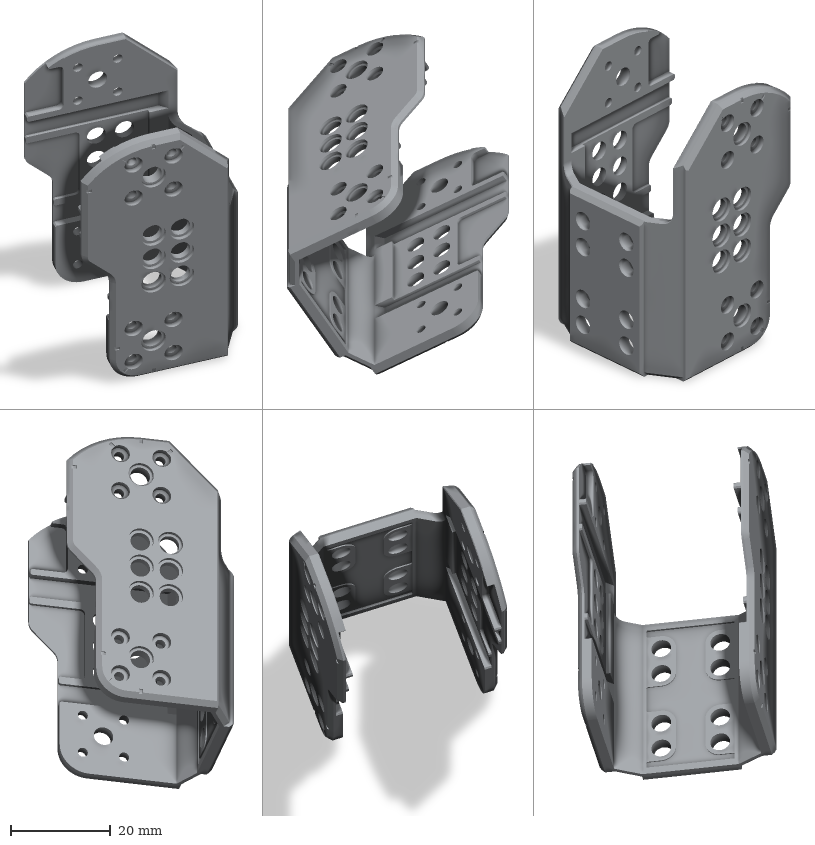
import cadquery as cq
import math

WIDTH = 36.0
DEPTH = 36.0
HEIGHT = 60.0
LEG_THICK = 3.0
WEB_THICK = 3.0
CHAMFER = 3 / 3
EDGE_BREAK = 0.4
FINE_BREAK = 0.2
MARGIN = 3.0
TOLERANCE = 0.05

HALF_WIDTH = WIDTH / 2
BACK = DEPTH / 2
FRONT = -DEPTH / 2
INNER_X = HALF_WIDTH - LEG_THICK

WEB_HEIGHT = 36.0
WEB_OPENING_RADIUS = 6 / 3
WEB_PAD_HALF = 30 / 3
SLANT_ANGLE = math.radians(30)
SLANT_RUN_Y = 3.0
WEB_INNER_Y = BACK - WEB_THICK
LEG_INNER_Y = WEB_INNER_Y - SLANT_RUN_Y
WEB_INNER_X = INNER_X - SLANT_RUN_Y / math.tan(SLANT_ANGLE)
LEG_BACK = LEG_INNER_Y + CHAMFER

LOWER_FRONT = -12.0
MID_Z = 30.0
STEP_RADIUS = 3.0
BOTTOM_RADIUS = 6.0
TOP_FLAT_BACK = 3.0
TOP_FLAT_FRONT = -3.0
TOP_ARC_RADIUS = 19.5
TOP_ARC_Z = HEIGHT - TOP_ARC_RADIUS

PITCH = 6.0
HORN_Y = -3.0
LOWER_HORN_Z = 9.0
UPPER_HORN_Z = 51.0
SCREW_CIRCLE_RADIUS = 6.0
SCREW_DIA = 2.05
SCREW_HEAD_DIA = 3.85
SCREW_HEAD_DEPTH = 1.2
HOLE_DIA = 12 / 3
HOLE_RIM_DIA = 5.15
HOLE_RIM_DEPTH = 0.8

RECESS_DEPTH = 1.5
PANEL_DEPTH = 0.85
PANEL_BACK = 8.0
CHANNEL_SPACING = 23.75
CHANNEL_HEIGHT = 4.55
CHANNEL_Z = (MID_Z - CHANNEL_SPACING / 2, MID_Z + CHANNEL_SPACING / 2)
POCKET_RADIUS = 3 / 3
UPPER_POCKET_BACK = -10.3
UPPER_POCKET_HEIGHT = 33 / 3
LOWER_POCKET_BACK = -6.6
LOWER_POCKET_HEIGHT = 48 / 3
MOUTH_BREAK = 0.3
ARC_MOUTH_BREAK = 0.7

WEB_RECESS_HALF = 9.0
WEB_RECESS_Z = (1.5, 34.5)
WEB_RECESS_DEPTH = 0.5
WEB_RECESS_RADIUS = 0.3
ISLAND_DEPTH = 0.25
ISLAND_INNER_X = 3.0
ISLAND_RADIUS = 3.0
ISLAND_HEIGHT = 12.0
ISLAND_Z = (9.0, 27.0)

MARK_WIDTH = 0.7
MARK_DEPTH = 0.25
MARK_REACH = 1.8


def box(x, y, z):
    """Box between the given (min, max) pairs."""
    size = [high - low for low, high in (x, y, z)]
    return cq.Workplane("XY").box(*size, centered=False).translate((x[0], y[0], z[0]))


def centered_range(middle, size):
    return middle - size / 2, middle + size / 2


def plan_prism(points, z_range):
    """Prism over a plan outline given for +X and mirrored to -X."""
    mirrored = [(-x, y) for x, y in reversed(points)]
    plane = cq.Workplane("XY").workplane(offset=z_range[0])
    return plane.polyline(points + mirrored).close().extrude(z_range[1] - z_range[0])


def near(x_range, y, z):
    """Selector for edges centred at a Y, Z point within an X range."""
    low = (x_range[0] - TOLERANCE, y - TOLERANCE, z - TOLERANCE)
    high = (x_range[1] + TOLERANCE, y + TOLERANCE, z + TOLERANCE)
    return cq.selectors.BoxSelector(low, high)


UPPER_POCKET_Z = centered_range(UPPER_HORN_Z, UPPER_POCKET_HEIGHT)
LOWER_POCKET_Z = centered_range(MID_Z, LOWER_POCKET_HEIGHT)


def arc_point(y):
    return y, TOP_ARC_Z + math.sqrt(TOP_ARC_RADIUS**2 - (y - TOP_FLAT_FRONT) ** 2)


def side_prism(x_range):
    """Side outline of the legs, carried on behind the web, extruded along X."""
    half_step = (LOWER_FRONT - FRONT) / 2
    far_back = BACK + MARGIN
    prism = (
        cq.Workplane("YZ").workplane(offset=x_range[0])
        .moveTo(far_back, 0)
        .lineTo(LOWER_FRONT, 0)
        .lineTo(LOWER_FRONT, MID_Z - half_step)
        .lineTo(FRONT, MID_Z + half_step)
        .lineTo(*arc_point(FRONT))
        .threePointArc(arc_point((FRONT + TOP_FLAT_FRONT) / 2), (TOP_FLAT_FRONT, HEIGHT))
        .lineTo(TOP_FLAT_BACK, HEIGHT)
        .lineTo(far_back, HEIGHT - (far_back - TOP_FLAT_BACK))
        .close()
        .extrude(x_range[1] - x_range[0])
    )
    prism = prism.edges(near(x_range, LOWER_FRONT, 0)).fillet(BOTTOM_RADIUS)
    prism = prism.edges(near(x_range, LOWER_FRONT, MID_Z - half_step)).fillet(STEP_RADIUS)
    return prism.edges(near(x_range, FRONT, MID_Z + half_step)).fillet(STEP_RADIUS)


def hull():
    """Outside of the legs and slanted walls, open space not yet removed."""
    shoulder_x = HALF_WIDTH - CHAMFER
    legs = box((-HALF_WIDTH, HALF_WIDTH), (FRONT, LEG_BACK), (0, HEIGHT))
    legs = legs.edges("|Z and >Y").chamfer(EDGE_BREAK)
    slants = plan_prism(
        [(shoulder_x, LEG_INNER_Y - MARGIN), (shoulder_x, LEG_BACK), (WEB_PAD_HALF, BACK - CHAMFER)],
        (0, HEIGHT),
    )
    bottom_edges = cq.selectors.BoxSelector(
        (-shoulder_x + TOLERANCE, LEG_BACK, -TOLERANCE), (shoulder_x - TOLERANCE, BACK, TOLERANCE)
    )
    slants = slants.edges(bottom_edges).chamfer(CHAMFER)
    sides = side_prism((-HALF_WIDTH, HALF_WIDTH)).faces("<X or >X").chamfer(CHAMFER)
    return legs.union(slants).intersect(sides)


def cut_web_opening(body):
    """Clear the space between the legs above the web and break its back edges."""
    opening = box((-INNER_X, INNER_X), (FRONT - MARGIN, BACK + MARGIN), (WEB_HEIGHT, HEIGHT + MARGIN))
    opening = opening.edges("|Y and <Z").fillet(WEB_OPENING_RADIUS)
    back_edges = cq.selectors.BoxSelector(
        (-INNER_X - TOLERANCE, LEG_BACK, WEB_HEIGHT - TOLERANCE),
        (INNER_X + TOLERANCE, BACK, (WEB_HEIGHT + HEIGHT) / 2),
    )
    return body.cut(opening).edges(back_edges).chamfer(FINE_BREAK)


def web_pad():
    """Thick middle of the web."""
    pad = box((-WEB_PAD_HALF, WEB_PAD_HALF), (WEB_INNER_Y, BACK), (0, WEB_HEIGHT))
    pad = pad.faces(">Y").edges("|X").chamfer(CHAMFER)
    return pad.faces(">Y").edges("|Z").chamfer(EDGE_BREAK)


def cavity():
    """Open space between the legs, bounded by the slanted walls and the web."""
    return plan_prism(
        [(INNER_X, FRONT - MARGIN), (INNER_X, LEG_INNER_Y), (WEB_INNER_X, WEB_INNER_Y)],
        (-MARGIN, HEIGHT + MARGIN),
    )


def recess(back_y, z_range, depth):
    return box((INNER_X, INNER_X + depth), (FRONT - MARGIN, back_y), z_range)


def channel(mid_z):
    """Wiring channel that runs out to the inner face at 45 degrees at its back end."""
    deep_x = INNER_X + RECESS_DEPTH
    open_y = FRONT - MARGIN
    plane = cq.Workplane("XY").workplane(offset=mid_z - CHANNEL_HEIGHT / 2)
    ramp_y = LEG_INNER_Y - RECESS_DEPTH
    outline = [(INNER_X, open_y), (deep_x, open_y), (deep_x, ramp_y), (INNER_X, LEG_INNER_Y)]
    return plane.polyline(outline).close().extrude(CHANNEL_HEIGHT)


def leg_recesses():
    cuts = recess(PANEL_BACK, CHANNEL_Z, PANEL_DEPTH)
    for mid_z in CHANNEL_Z:
        cuts = cuts.union(channel(mid_z))
    for back_y, z_range in ((UPPER_POCKET_BACK, UPPER_POCKET_Z), (LOWER_POCKET_BACK, LOWER_POCKET_Z)):
        pocket = recess(back_y, z_range, RECESS_DEPTH)
        cuts = cuts.union(pocket.edges("|X and >Y").fillet(POCKET_RADIUS))
    return cuts


def counterbored(points, dia, head_dia, head_depth):
    """Holes through the leg at (Y, Z) points, with their heads on the outside."""
    plane = cq.Workplane("YZ")
    bores = plane.workplane(offset=INNER_X).pushPoints(points).circle(dia / 2).extrude(LEG_THICK)
    heads = plane.workplane(offset=HALF_WIDTH - head_depth).pushPoints(points)
    return bores.union(heads.circle(head_dia / 2).extrude(head_depth))


def leg_holes():
    screw_offset = SCREW_CIRCLE_RADIUS * math.sin(math.pi / 4)
    horns = [(HORN_Y, z) for z in (LOWER_HORN_Z, UPPER_HORN_Z)]
    screws = [
        (y + side * screw_offset, z + level * screw_offset)
        for y, z in horns for side in (-1, 1) for level in (-1, 1)
    ]
    grid = [(HORN_Y + column * PITCH, MID_Z + row * PITCH) for column in (0, 1) for row in (-1, 0, 1)]
    screw_holes = counterbored(screws, SCREW_DIA, SCREW_HEAD_DIA, SCREW_HEAD_DEPTH)
    return screw_holes.union(counterbored(horns + grid, HOLE_DIA, HOLE_RIM_DIA, HOLE_RIM_DEPTH))


def mark(horn_z, angle, start):
    """Groove pointing away from a horn centre; the angle turns from +Y towards +Z."""
    x_range = (HALF_WIDTH - MARK_DEPTH, HALF_WIDTH)
    groove = box(x_range, (start, start + MARGIN), centered_range(0, MARK_WIDTH))
    return groove.rotate((0, 0, 0), (1, 0, 0), angle).translate((0, HORN_Y, horn_z))


def leg_marks():
    to_end = HEIGHT - UPPER_HORN_Z - MARK_REACH
    to_front = HORN_Y - FRONT - MARK_REACH
    to_lower_front = HORN_Y - LOWER_FRONT - MARK_REACH
    upper = [(45, SCREW_CIRCLE_RADIUS), (90, to_end), (135, SCREW_CIRCLE_RADIUS), (180, to_front)]
    lower = [(180, to_lower_front), (225, SCREW_CIRCLE_RADIUS), (270, to_end)]
    grooves = cq.Workplane("XY")
    for horn_z, group in ((UPPER_HORN_Z, upper), (LOWER_HORN_Z, lower)):
        for angle, start in group:
            grooves = grooves.union(mark(horn_z, angle, start))
    return grooves


def leg_rim_break():
    """Fine chamfer along the inner edge of the top, as far forward as the upper pocket."""
    rim = box((INNER_X, INNER_X + FINE_BREAK), (UPPER_POCKET_BACK, BACK), (WEB_HEIGHT + MARGIN, HEIGHT))
    return rim.cut(side_prism((INNER_X, HALF_WIDTH)).faces("<X").chamfer(FINE_BREAK))


def break_recess_mouths(body):
    """Chamfer the top and bottom edges where the recesses open to the front."""
    lower_channel, upper_channel = (centered_range(z, CHANNEL_HEIGHT) for z in CHANNEL_Z)
    arc_y = TOP_FLAT_FRONT - math.sqrt(TOP_ARC_RADIUS**2 - (UPPER_POCKET_Z[1] - TOP_ARC_Z) ** 2)
    mouths = [(LOWER_FRONT, z) for z in (*lower_channel, LOWER_POCKET_Z[0])]
    mouths += [(FRONT, z) for z in (LOWER_POCKET_Z[1], *upper_channel, UPPER_POCKET_Z[0])]
    sized = [(y, z, MOUTH_BREAK) for y, z in mouths]
    sized.append((arc_y, UPPER_POCKET_Z[1], ARC_MOUTH_BREAK))
    for y, z, size in sized:
        body = body.edges(near((-HALF_WIDTH, HALF_WIDTH), y, z)).edges("|X").chamfer(size)
    return body


def web_recess():
    def layer(depth):
        x_range = (-WEB_RECESS_HALF, WEB_RECESS_HALF)
        return box(x_range, (WEB_INNER_Y, WEB_INNER_Y + depth), WEB_RECESS_Z)

    deep = layer(WEB_RECESS_DEPTH)
    for mid_z in ISLAND_Z:
        island = box(
            (ISLAND_INNER_X, WEB_RECESS_HALF), (WEB_INNER_Y, BACK), centered_range(mid_z, ISLAND_HEIGHT)
        )
        island = island.edges("|Y and <X").fillet(ISLAND_RADIUS)
        deep = deep.cut(island).cut(island.mirror("YZ"))
    deep = deep.edges("|Y").edges("<X or >X").fillet(WEB_RECESS_RADIUS)
    return deep.union(layer(ISLAND_DEPTH))


def web_holes():
    points = [(x, z + side * PITCH / 2) for x in (-PITCH, PITCH) for z in ISLAND_Z for side in (-1, 1)]
    plane = cq.Workplane("XZ").workplane(offset=-BACK)
    return plane.pushPoints(points).circle(HOLE_DIA / 2).extrude(WEB_THICK)


body = cut_web_opening(hull()).union(web_pad()).cut(cavity())
body = body.cut(web_recess()).cut(web_holes())
for leg_cut in (leg_rim_break(), leg_recesses(), leg_holes(), leg_marks()):
    body = body.cut(leg_cut).cut(leg_cut.mirror("YZ"))
result = break_recess_mouths(body)